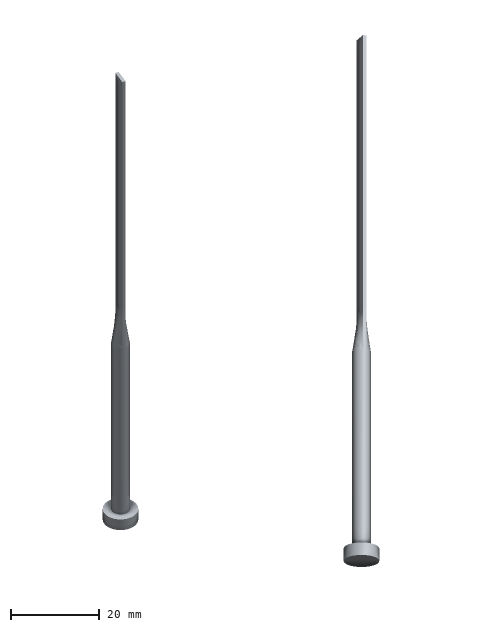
import cadquery as cq
import math

total_length = 125.0
blade_length = 65.0
transition_length = 10.0
head_height = 3.0

head_diameter = 8.0
shaft_diameter = 4.2
blade_width = 3.8
blade_thickness = 0.8

blade_start = total_length - blade_length
shaft_end = blade_start - transition_length
shaft_radius = shaft_diameter / 2


def head_and_shaft():
    """Round head with the coaxial shaft standing on it."""
    head = cq.Workplane("XY").circle(head_diameter / 2).extrude(head_height)
    shaft = cq.Workplane("XY").circle(shaft_radius).extrude(shaft_end)
    return head.union(shaft)


def transition():
    """Ruled loft from the round shaft to the flat blade.

    The shaft circle is split at the blade's thickness, so each of its four arcs
    runs into one side of the blade rectangle.
    """
    split_y = blade_thickness / 2
    split_x = math.sqrt(shaft_radius**2 - split_y**2)
    return (
        cq.Workplane("XY")
        .workplane(offset=shaft_end)
        .moveTo(-split_x, -split_y)
        .threePointArc((0, -shaft_radius), (split_x, -split_y))
        .threePointArc((shaft_radius, 0), (split_x, split_y))
        .threePointArc((0, shaft_radius), (-split_x, split_y))
        .threePointArc((-shaft_radius, 0), (-split_x, -split_y))
        .close()
        .workplane(offset=transition_length)
        .moveTo(-blade_width / 2, -blade_thickness / 2)
        .lineTo(blade_width / 2, -blade_thickness / 2)
        .lineTo(blade_width / 2, blade_thickness / 2)
        .lineTo(-blade_width / 2, blade_thickness / 2)
        .close()
        .loft(ruled=True)
    )


def blade():
    """Flat rectangular blade at the upper end of the pin."""
    return (
        cq.Workplane("XY")
        .workplane(offset=blade_start)
        .rect(blade_width, blade_thickness)
        .extrude(blade_length)
    )


result = head_and_shaft().union(transition()).union(blade())